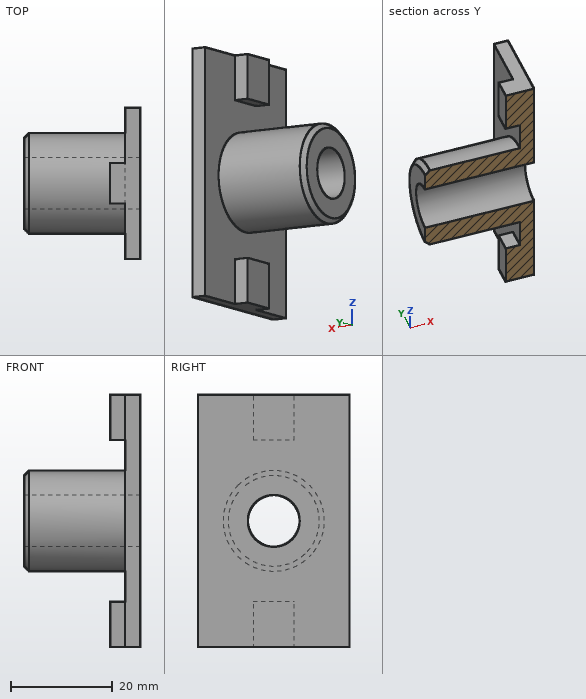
import cadquery as cq

plate_thickness = 3.0
plate_width = 30.0
plate_height = 50.0
boss_diameter = 20.0
boss_length = 20.0
boss_chamfer = 1.0
bore_diameter = 10.2
tab_width = 8.0
tab_height = 9.0
tab_thickness = 3.0

plate = cq.Workplane("YZ").rect(plate_width, plate_height).extrude(plate_thickness)


def make_boss():
    """Cylinder along -X with a chamfered free end."""
    boss = cq.Workplane("YZ").circle(boss_diameter / 2).extrude(-boss_length)
    return boss.faces("<X").chamfer(boss_chamfer)


def make_tabs():
    """Two rectangular tabs, flush with the top and bottom plate edges."""
    tab_offset = (plate_height - tab_height) / 2
    return (
        cq.Workplane("YZ")
        .pushPoints([(0, tab_offset), (0, -tab_offset)])
        .rect(tab_width, tab_height)
        .extrude(-tab_thickness)
    )


bore = (
    cq.Workplane("YZ", origin=(-boss_length, 0, 0))
    .circle(bore_diameter / 2)
    .extrude(boss_length + plate_thickness)
)

result = plate.union(make_boss()).union(make_tabs()).cut(bore)